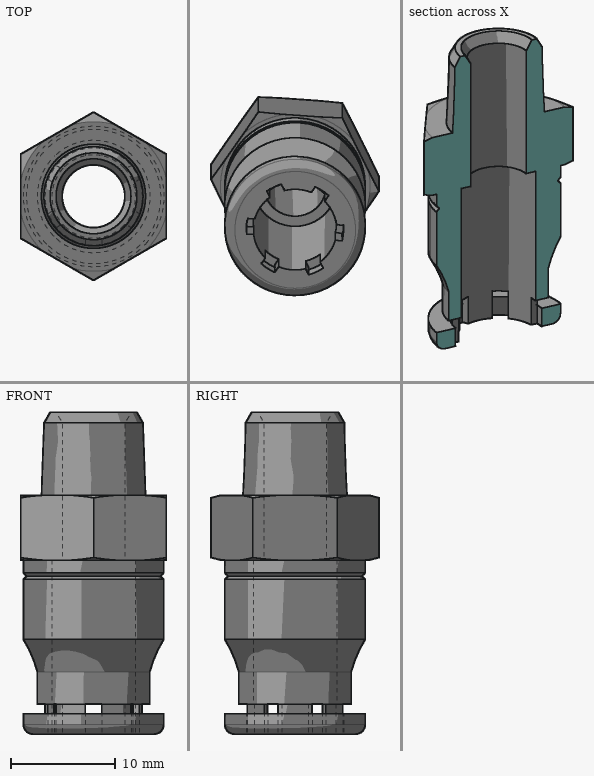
import cadquery as cq
import math

total_height = 30.9
ring_top = 1.98
sleeve_bottom = 2.9
taper_bottom = 6.0
taper_top = 9.12
groove_middle = 15.17
hex_bottom = 16.72
hex_top = 22.93

body_radius = 13.5 / 2
sleeve_radius = 10.8 / 2
taper_sag = 0.12
ring_fillet = 0.95
groove_depth = 0.3

hex_across_flats = 14.0
hex_across_corners = hex_across_flats / math.cos(math.radians(30))
hex_face_radius = 14.37 / 2
hex_chamfer_angle = 15.0

stem_base_radius = 10.0 / 2
stem_upper_radius = 9.52 / 2
stem_tip_radius = 8.35 / 2
stem_chamfer_height = 1.02

bore_radius = 6.0 / 2
bore_mouth_radius = 7.2 / 2
bore_chamfer_height = 1.02
socket_radius = 8.0 / 2
socket_depth = hex_bottom

finger_radius = 9.33 / 2
slot_count = 6
slot_width = 1.55


def make_turned_body():
    """Revolve the solid outer profile, without the hexagon."""
    taper_run = body_radius - sleeve_radius
    taper_rise = taper_top - taper_bottom
    taper_length = math.hypot(taper_run, taper_rise)
    taper_middle = (
        (body_radius + sleeve_radius) / 2 - taper_sag * taper_rise / taper_length,
        (taper_top + taper_bottom) / 2 + taper_sag * taper_run / taper_length,
    )
    fillet_center = (body_radius - ring_fillet, ring_fillet)
    fillet_offset = ring_fillet * math.sqrt(0.5)
    fillet_middle = (fillet_center[0] + fillet_offset, fillet_center[1] - fillet_offset)
    stem_chamfer_bottom = total_height - stem_chamfer_height
    profile = (
        cq.Workplane("XZ")
        .moveTo(0, 0)
        .lineTo(body_radius - ring_fillet, 0)
        .threePointArc(fillet_middle, (body_radius, ring_fillet))
        .lineTo(body_radius, ring_top)
        .lineTo(finger_radius, ring_top)
        .lineTo(finger_radius, sleeve_bottom)
        .lineTo(sleeve_radius, sleeve_bottom)
        .lineTo(sleeve_radius, taper_bottom)
        .threePointArc(taper_middle, (body_radius, taper_top))
        .lineTo(body_radius, groove_middle - groove_depth)
        .lineTo(body_radius - groove_depth, groove_middle)
        .lineTo(body_radius, groove_middle + groove_depth)
        .lineTo(body_radius, hex_top)
        .lineTo(stem_base_radius, hex_top)
        .lineTo(stem_upper_radius, stem_chamfer_bottom)
        .lineTo(stem_tip_radius, total_height)
        .lineTo(0, total_height)
        .close()
    )
    return profile.revolve(360, (0, 0), (0, 1))


def make_hexagon():
    """Hexagonal prism whose corners are turned off conically at both ends."""
    corner_radius = hex_across_corners / 2
    chamfer_drop = (corner_radius - hex_face_radius) * math.tan(math.radians(hex_chamfer_angle))
    prism = (
        cq.Workplane("XY", origin=(0, 0, hex_bottom))
        .polygon(6, hex_across_corners)
        .extrude(hex_top - hex_bottom)
        .rotate((0, 0, 0), (0, 0, 1), 30)
    )
    envelope = (
        cq.Workplane("XZ")
        .moveTo(0, hex_bottom)
        .lineTo(hex_face_radius, hex_bottom)
        .lineTo(corner_radius, hex_bottom + chamfer_drop)
        .lineTo(corner_radius, hex_top - chamfer_drop)
        .lineTo(hex_face_radius, hex_top)
        .lineTo(0, hex_top)
        .close()
        .revolve(360, (0, 0), (0, 1))
    )
    return prism.intersect(envelope)


def make_bore():
    """Tube socket, through bore and conical mouth as one cutting body."""
    return (
        cq.Workplane("XZ")
        .moveTo(0, 0)
        .lineTo(socket_radius, 0)
        .lineTo(socket_radius, socket_depth)
        .lineTo(bore_radius, socket_depth)
        .lineTo(bore_radius, total_height - bore_chamfer_height)
        .lineTo(bore_mouth_radius, total_height)
        .lineTo(0, total_height)
        .close()
        .revolve(360, (0, 0), (0, 1))
    )


def make_finger_slots():
    """Slots open at the bottom, cut no farther out than the finger surface."""
    slots = cq.Workplane("XY").circle(finger_radius).extrude(sleeve_bottom)
    bars = cq.Workplane("XY")
    for index in range(slot_count // 2):
        bar = (
            cq.Workplane("XY")
            .rect(slot_width, 2 * sleeve_radius)
            .extrude(sleeve_bottom)
            .rotate((0, 0, 0), (0, 0, 1), index * 360 / slot_count)
        )
        bars = bars.add(bar)
    return slots.intersect(bars.combine())


result = make_turned_body().union(make_hexagon()).cut(make_bore()).cut(make_finger_slots())